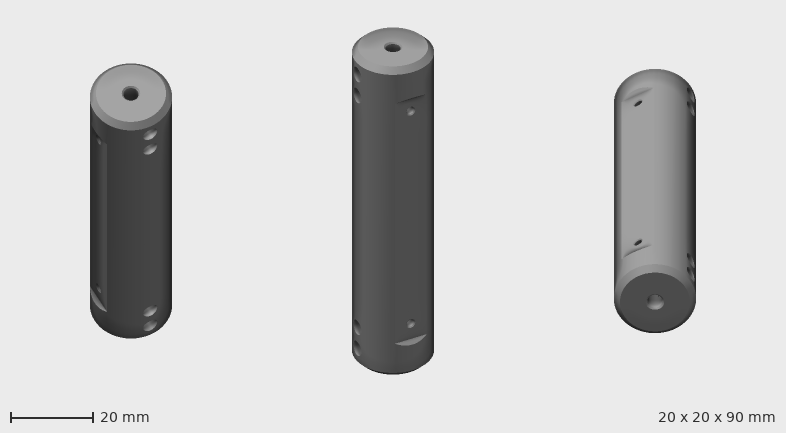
import cadquery as cq
import math

length = 90.0
diameter = 20.0
radius = diameter / 2
end_face_diameter = 17.0
end_chamfer = (diameter - end_face_diameter) / 2

bore_diameter = 3.7
bore_mouth = 4.5

flat_width = 8.8
flat_y = math.sqrt(radius**2 - (flat_width / 2) ** 2)
flat_depth = radius - flat_y
flat_length = 70.0

pin_diameter = 2.0
pin_mouth = 2.5
pin_heights = (14.5, 76.5)

side_diameter = 4.0
side_heights = (5.2, 11.3, 79.0, 85.1)


def mouth_cone(hole_diameter, mouth_diameter, plane):
    """45 degree countersink starting at the plane and narrowing along its normal."""
    depth = (mouth_diameter - hole_diameter) / 2
    return cq.Workplane(plane).circle(mouth_diameter / 2).extrude(depth, taper=45)


def make_bar():
    return cq.Workplane("XY").circle(radius).extrude(length).faces("<Z or >Z").chamfer(end_chamfer)


def flat_cutter(side):
    """Trapezoid in the YZ plane, flaring outward from the flat; side is -1 or +1."""
    half_inner = flat_length / 2
    half_outer = half_inner + flat_depth
    middle = length / 2
    profile = [
        (side * flat_y, middle - half_inner),
        (side * flat_y, middle + half_inner),
        (side * radius, middle + half_outer),
        (side * radius, middle - half_outer),
    ]
    return cq.Workplane("YZ").polyline(profile).close().extrude(radius, both=True)


def cut_bore(body):
    body = body.cut(cq.Workplane("XY").circle(bore_diameter / 2).extrude(length))
    for height, direction in ((0, 1), (length, -1)):
        plane = cq.Plane((0, 0, height), (1, 0, 0), (0, 0, direction))
        body = body.cut(mouth_cone(bore_diameter, bore_mouth, plane))
    return body


def cut_pin_holes(body):
    for height in pin_heights:
        hole = cq.Workplane("XZ", origin=(0, 0, height)).circle(pin_diameter / 2)
        body = body.cut(hole.extrude(radius, both=True))
        for side in (-1, 1):
            plane = cq.Plane((0, side * flat_y, height), (1, 0, 0), (0, -side, 0))
            body = body.cut(mouth_cone(pin_diameter, pin_mouth, plane))
    return body


def cut_side_holes(body):
    for height in side_heights:
        hole = cq.Workplane("YZ", origin=(0, 0, height)).circle(side_diameter / 2)
        body = body.cut(hole.extrude(radius))
    return body


result = make_bar()
for flat_side in (-1, 1):
    result = result.cut(flat_cutter(flat_side))
result = cut_bore(result)
result = cut_pin_holes(result)
result = cut_side_holes(result)